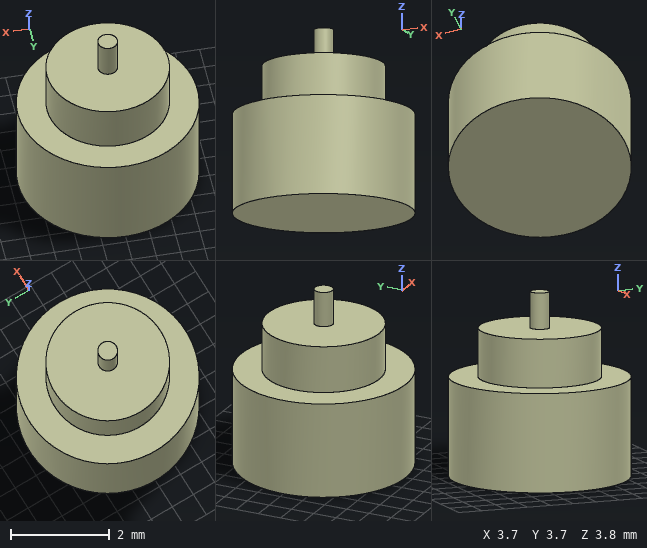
import cadquery as cq

total_height = 3.8
body_diameter = 3.7
body_height = 2.05
collar_diameter = 2.5
collar_height = 1.005
pin_diameter = 0.4

pin_height = total_height - body_height - collar_height


def add_cylinder(part, diameter, height):
    """Stack a coaxial cylinder on the top face of the part."""
    return part.faces(">Z").workplane().circle(diameter / 2).extrude(height)


body = cq.Workplane("XY").circle(body_diameter / 2).extrude(body_height)
body_with_collar = add_cylinder(body, collar_diameter, collar_height)

result = add_cylinder(body_with_collar, pin_diameter, pin_height)